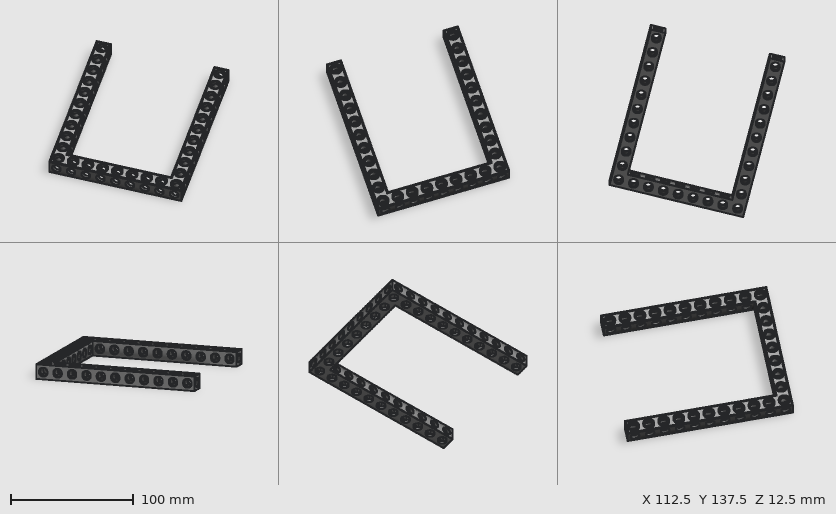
import cadquery as cq

overall_length = 137.5
holes_per_arm = 11
holes_per_base = 9
pitch = overall_length / holes_per_arm
beam = pitch
overall_width = holes_per_base * pitch
hole_radius = 7.0 / 2
chamfer = 0.3

rim_width = 1.1
collar_radius = 9.2 / 2
recess_depth = 0.2
recess_floor = beam - recess_depth


def hole_centers(count):
    return [(index + 0.5) * pitch for index in range(count)]


columns = hole_centers(holes_per_base)
rows = hole_centers(holes_per_arm)
mid_height = beam / 2

arm_points = [(x, y) for x in (columns[0], columns[-1]) for y in rows]
base_points = [(x, rows[0]) for x in columns[1:-1]]
vertical_points = arm_points + base_points


def u_prism(inset, bottom, height):
    """U-shaped prism whose outline lies the given inset inside the part's outline."""
    left = inset
    right = overall_width - inset
    front = inset
    back = overall_length - inset
    arm_edge = beam - inset
    outline = [
        (left, front),
        (right, front),
        (right, back),
        (overall_width - arm_edge, back),
        (overall_width - arm_edge, arm_edge),
        (arm_edge, arm_edge),
        (arm_edge, back),
        (left, back),
    ]
    return cq.Workplane("XY", origin=(0, 0, bottom)).polyline(outline).close().extrude(height)


def through_hole(start, direction, length):
    """Tool for a round hole from a start point, flared by the chamfer at both ends."""
    mouth_radius = hole_radius + chamfer
    half_section = [
        (0, 0),
        (mouth_radius, 0),
        (hole_radius, chamfer),
        (hole_radius, length - chamfer),
        (mouth_radius, length),
        (0, length),
    ]
    across = (direction[1], direction[2], direction[0])
    normal = cq.Vector(*across).cross(cq.Vector(*direction))
    plane = cq.Plane(origin=start, xDir=across, normal=normal)
    full_turn = 360
    return cq.Workplane(plane).polyline(half_section).close().revolve(full_turn, (0, 0), (0, 1)).val()


def x_holes():
    """The first row runs the length of the base; the others cross each arm."""
    tools = [through_hole((0, rows[0], mid_height), (1, 0, 0), overall_width)]
    for y in rows[1:]:
        for arm_left in (0, overall_width - beam):
            tools.append(through_hole((arm_left, y, mid_height), (1, 0, 0), beam))
    return tools


def y_holes():
    """The outer columns run the length of the arms; the others cross the base."""
    tools = []
    for x in columns:
        in_arm = x in (columns[0], columns[-1])
        length = overall_length if in_arm else beam
        tools.append(through_hole((x, 0, mid_height), (0, 1, 0), length))
    return tools


def z_holes():
    return [through_hole((x, y, 0), (0, 0, 1), beam) for x, y in vertical_points]


def chamfered_body():
    """Plain U with every edge chamfered except the two upright inside corners."""
    body = u_prism(0, 0, beam)
    inside_corners = cq.selectors.BoxSelector(
        (beam / 2, beam / 2, beam / 4),
        (overall_width - beam / 2, beam * 3 / 2, beam * 3 / 4),
    )
    all_but_corners = cq.selectors.InverseSelector(inside_corners)
    return body.edges(all_but_corners).chamfer(chamfer)


def top_recess():
    """Tool for the sunken area of the top face, with the hole collars left standing."""
    collars = (
        cq.Workplane("XY", origin=(0, 0, recess_floor))
        .pushPoints(vertical_points)
        .circle(collar_radius)
        .extrude(recess_depth)
    )
    return u_prism(rim_width, recess_floor, recess_depth).cut(collars)


result = chamfered_body().cut(top_recess())
for hole_tools in (x_holes(), y_holes(), z_holes()):
    result = result.cut(cq.Workplane(cq.Compound.makeCompound(hole_tools)))